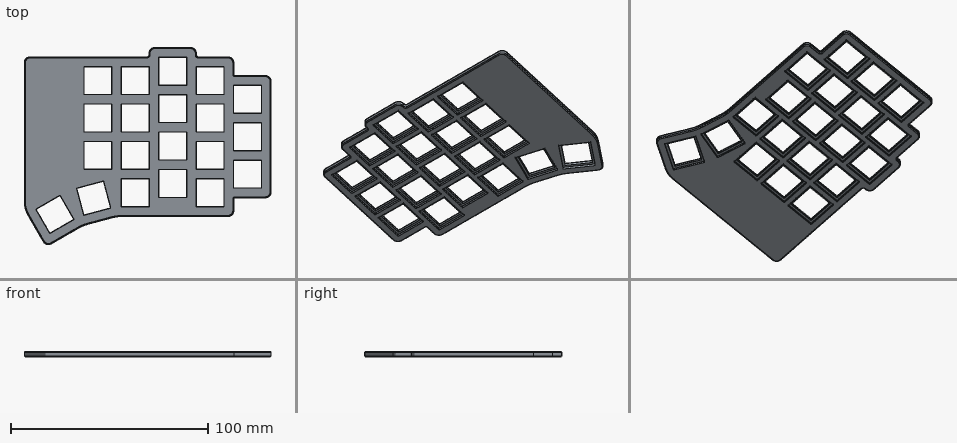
import cadquery as cq
import math

PLATE_LENGTH = 125.2
PLATE_WIDTH = 100.0
THICKNESS = 2.8
EDGE_CHAMFER = 0.5

COLUMN_SPAN = 75.9
COLUMN_COUNT = 5
KEY_PITCH = COLUMN_SPAN / (COLUMN_COUNT - 1)
KEY_HOLE = 14.0
KEY_RECESS = 16.4
LIP_THICKNESS = 1.5
KEY_MARGIN = 12.0
TALL_STAGGER = KEY_PITCH / 4
PINKY_STAGGER = KEY_PITCH / 2
MAIN_ROWS = 4
INNER_ROWS = 3
PINKY_ROWS = 3

OUTER_THUMB_X = 15.5
OUTER_THUMB_TILT = 30
INNER_THUMB = (35.2, 23.5)
INNER_THUMB_TILT = 15

CORNER_RADIUS = 3.0
INSIDE_RADIUS = 1.0
STEP_RADIUS = 0.6
BEND_RADIUS = 20.0
LEFT_BEND_RADIUS = 14.4

corner_reach = math.cos(math.radians(OUTER_THUMB_TILT)) + math.sin(math.radians(OUTER_THUMB_TILT))
outer_thumb_y = KEY_MARGIN * corner_reach - CORNER_RADIUS * (corner_reach - 1)
outer_thumb = (OUTER_THUMB_X, outer_thumb_y)

pinky_x = PLATE_LENGTH - KEY_MARGIN
ring_x = pinky_x - KEY_PITCH
tall_x = ring_x - KEY_PITCH
index_x = tall_x - KEY_PITCH
inner_x = index_x - KEY_PITCH

tall_top_y = PLATE_WIDTH - KEY_MARGIN
main_top_y = tall_top_y - TALL_STAGGER
pinky_top_y = main_top_y - PINKY_STAGGER

main_top_edge = main_top_y + KEY_MARGIN
main_bottom_edge = main_top_y - (MAIN_ROWS - 1) * KEY_PITCH - KEY_MARGIN
main_right_edge = ring_x + KEY_MARGIN
tab_left_edge = tall_x - KEY_MARGIN
tab_right_edge = tall_x + KEY_MARGIN
pinky_top_edge = pinky_top_y + KEY_MARGIN
pinky_bottom_edge = pinky_top_y - (PINKY_ROWS - 1) * KEY_PITCH - KEY_MARGIN


def tilted_point(centre, tilt, across, along):
    """Point at a local offset from a key centre, turned by the key's tilt."""
    c = math.cos(math.radians(tilt))
    s = math.sin(math.radians(tilt))
    return (centre[0] + across * c - along * s, centre[1] + across * s + along * c)


def crossing(point_a, angle_a, point_b, angle_b):
    """Crossing of two lines, each given by a point and a direction in degrees."""
    ax, ay = math.cos(math.radians(angle_a)), math.sin(math.radians(angle_a))
    bx, by = math.cos(math.radians(angle_b)), math.sin(math.radians(angle_b))
    dx, dy = point_b[0] - point_a[0], point_b[1] - point_a[1]
    travel = (dx * by - dy * bx) / (ax * by - ay * bx)
    return (point_a[0] + travel * ax, point_a[1] + travel * ay)


thumb_corner = tilted_point(outer_thumb, OUTER_THUMB_TILT, -KEY_MARGIN, -KEY_MARGIN)
inner_thumb_base = tilted_point(INNER_THUMB, INNER_THUMB_TILT, 0, -KEY_MARGIN)
left_bend = crossing(thumb_corner, OUTER_THUMB_TILT + 90, (0, 0), 90)
thumb_bend = crossing(thumb_corner, OUTER_THUMB_TILT, inner_thumb_base, INNER_THUMB_TILT)
bottom_bend = crossing(inner_thumb_base, INNER_THUMB_TILT, (0, main_bottom_edge), 0)

corners = [
    ((0, main_top_edge), CORNER_RADIUS),
    ((tab_left_edge, main_top_edge), INSIDE_RADIUS),
    ((tab_left_edge, PLATE_WIDTH), CORNER_RADIUS),
    ((tab_right_edge, PLATE_WIDTH), CORNER_RADIUS),
    ((tab_right_edge, main_top_edge), INSIDE_RADIUS),
    ((main_right_edge, main_top_edge), CORNER_RADIUS),
    ((main_right_edge, pinky_top_edge), STEP_RADIUS),
    ((PLATE_LENGTH, pinky_top_edge), CORNER_RADIUS),
    ((PLATE_LENGTH, pinky_bottom_edge), CORNER_RADIUS),
    ((main_right_edge, pinky_bottom_edge), STEP_RADIUS),
    ((main_right_edge, main_bottom_edge), CORNER_RADIUS),
    (bottom_bend, BEND_RADIUS),
    (thumb_bend, BEND_RADIUS),
    (thumb_corner, CORNER_RADIUS),
    (left_bend, LEFT_BEND_RADIUS),
]


def plate_body():
    """Solid plate with rounded corners and both rims chamfered."""
    points = [point for point, _ in corners]
    body = cq.Workplane("XY").polyline(points).close().extrude(THICKNESS)
    for (x, y), radius in corners:
        edge_at_corner = cq.selectors.NearestToPointSelector((x, y, THICKNESS / 2))
        body = body.edges("|Z").edges(edge_at_corner).fillet(radius)
    return body.faces("<Z or >Z").edges().chamfer(EDGE_CHAMFER)


def key_hole(centre, tilt=0):
    """Cutter for one square key opening with a wider relief from the underside."""
    hole = cq.Workplane("XY").rect(KEY_HOLE, KEY_HOLE).extrude(THICKNESS)
    recess = cq.Workplane("XY").rect(KEY_RECESS, KEY_RECESS).extrude(THICKNESS - LIP_THICKNESS)
    hole = hole.union(recess)
    return hole.rotate((0, 0, 0), (0, 0, 1), tilt).translate((centre[0], centre[1], 0))


columns = [
    (inner_x, main_top_y, INNER_ROWS),
    (index_x, main_top_y, MAIN_ROWS),
    (tall_x, tall_top_y, MAIN_ROWS),
    (ring_x, main_top_y, MAIN_ROWS),
    (pinky_x, pinky_top_y, PINKY_ROWS),
]

result = plate_body()
for column_x, top_y, rows in columns:
    for row in range(rows):
        result = result.cut(key_hole((column_x, top_y - row * KEY_PITCH)))
result = result.cut(key_hole(outer_thumb, OUTER_THUMB_TILT))
result = result.cut(key_hole(INNER_THUMB, INNER_THUMB_TILT))